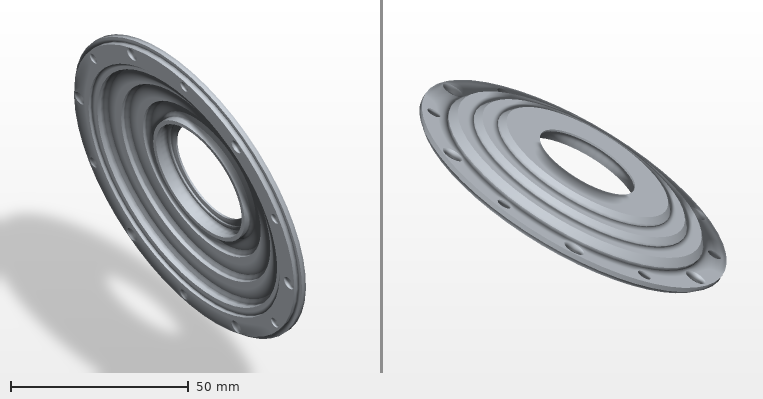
import cadquery as cq
import math


flange_radius = 49.0
spigot_radius = 47.4
spigot_depth = 1.6
flange_back = 3.0

overall_depth = 10.7
floor_thickness = 2.0
outer_wall_radii = (41.0, 34.3, 27.7)
outer_wall_ends = (4.0, 6.7, 8.8)
outer_cone_run = 1.8
stage_backs = (6.3, 8.5, overall_depth)
inner_wall_radii = (38.7, 32.1, 25.4)
inner_cone_run = 1.1
inner_cone_depth = 1.0

recess_radius = 41.2
recess_depth = 1.2

boss_radius = 19.7
boss_front = 5.5
seat_radius = 18.4
seat_back = 9.6
relief_radius = 17.2
relief_back = 10.1
bore_radius = 15.3

bolt_circle_radius = 45.1
hole_pairs = 6
large_hole_diameter = 4.1
small_hole_diameter = 3.2
countersink_diameter = 6.4
countersink_angle = 90


def outer_profile():
    """Points (radius, y) along the outside, from the front face to the back."""
    points = [
        (spigot_radius, 0),
        (spigot_radius, spigot_depth),
        (flange_radius, spigot_depth),
        (flange_radius, flange_back),
    ]
    start = flange_back
    for radius, wall_end, back in zip(outer_wall_radii, outer_wall_ends, stage_backs):
        points.append((radius, start))
        points.append((radius, wall_end))
        points.append((radius - outer_cone_run, back))
        start = back
    return points


def bore_profile():
    """Points (radius, y) up the stepped bore, from the back to the boss front."""
    return [
        (bore_radius, overall_depth),
        (bore_radius, relief_back),
        (relief_radius, relief_back),
        (relief_radius, seat_back),
        (seat_radius, seat_back),
        (seat_radius, boss_front),
    ]


def inner_profile():
    """Points (radius, y) along the inside, from the boss front out to the recess."""
    floor = overall_depth - floor_thickness
    points = [
        (boss_radius, boss_front),
        (boss_radius, floor - inner_cone_depth),
        (boss_radius + inner_cone_run, floor),
    ]
    starts = (recess_depth,) + tuple(back - floor_thickness for back in stage_backs[:-1])
    for radius, back, start in reversed(list(zip(inner_wall_radii, stage_backs, starts))):
        floor = back - floor_thickness
        points.append((radius - inner_cone_run, floor))
        points.append((radius, floor - inner_cone_depth))
        points.append((radius, start))
    points.append((recess_radius, recess_depth))
    points.append((recess_radius, 0))
    return points


def bolt_holes(diameter, first_angle):
    """Cutters through the flange, evenly spaced on the bolt circle."""
    return (
        cq.Workplane("XZ")
        .polarArray(bolt_circle_radius, first_angle, 360, hole_pairs)
        .circle(diameter / 2)
        .extrude(-flange_back)
    )


def countersinks(first_angle):
    """Conical cutters that open the small holes at the back of the flange."""
    half_angle = countersink_angle / 2
    cone_height = (countersink_diameter - small_hole_diameter) / 2 / math.tan(math.radians(half_angle))
    return (
        cq.Workplane("XZ", origin=(0, flange_back, 0))
        .polarArray(bolt_circle_radius, first_angle, 360, hole_pairs)
        .circle(countersink_diameter / 2)
        .extrude(cone_height, taper=half_angle)
    )


body = (
    cq.Workplane("ZY")
    .polyline(outer_profile() + bore_profile() + inner_profile())
    .close()
    .revolve(360, (0, 0, 0), (0, 1, 0))
)
half_pitch = 180 / hole_pairs
large_holes = bolt_holes(large_hole_diameter, 0)
small_holes = bolt_holes(small_hole_diameter, half_pitch)

result = body.cut(large_holes).cut(small_holes).cut(countersinks(half_pitch))